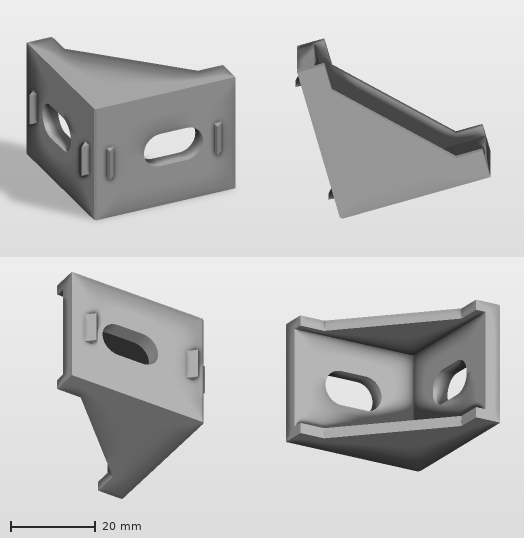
import cadquery as cq

leg_length = 37.0
height = 30.0
plate_thickness = 4.1
cheek_thickness = 2.6
leg_tip_thickness = 6.7
leg_tip_length = 6.6
corner_chamfer = 0.5

slot_length = 15.5
slot_width = 8.65
slot_center = 20.7

lug_depth = 2.0
lug_base = 2.1
lug_height = 7.8
lug_offsets = (3.0, 31.4)


def mirror_to_other_leg(shape):
    """Carry a feature of the -X leg to the +Y leg, across the plane X = -Y."""
    return shape.mirror("YZ").rotate((0, 0, 0), (0, 0, 1), 90)


def make_body():
    """Solid gusset with a sloping face between the two leg tips."""
    return (
        cq.Workplane("XY")
        .moveTo(0, 0)
        .lineTo(-leg_length, 0)
        .lineTo(-leg_length, leg_tip_thickness)
        .lineTo(-leg_length + leg_tip_length, leg_tip_thickness)
        .lineTo(-leg_tip_thickness, leg_length - leg_tip_length)
        .lineTo(-leg_tip_thickness, leg_length)
        .lineTo(0, leg_length)
        .close()
        .extrude(height / 2, both=True)
        .edges("|Z and >X and <Y")
        .chamfer(corner_chamfer)
    )


def make_cavity():
    """Space between the cheeks, open on the sloping side and at both leg tips."""
    return (
        cq.Workplane("XY")
        .box(leg_length, leg_length, height - 2 * cheek_thickness)
        .translate((-plate_thickness - leg_length / 2, plate_thickness + leg_length / 2, 0))
    )


def make_slot():
    """Screw slot through the plate of the -X leg."""
    return (
        cq.Workplane("XZ")
        .center(-slot_center, 0)
        .slot2D(slot_length, slot_width)
        .extrude(-plate_thickness)
    )


def make_lug(offset):
    """Wedge lug standing on the outer face of the -X leg."""
    return (
        cq.Workplane("XY")
        .moveTo(-offset, 0)
        .lineTo(-offset, -lug_depth)
        .lineTo(-offset - lug_base, 0)
        .close()
        .extrude(lug_height / 2, both=True)
    )


result = make_body().cut(make_cavity())

slot = make_slot()
result = result.cut(slot).cut(mirror_to_other_leg(slot))

for lug_offset in lug_offsets:
    lug = make_lug(lug_offset)
    result = result.union(lug).union(mirror_to_other_leg(lug))